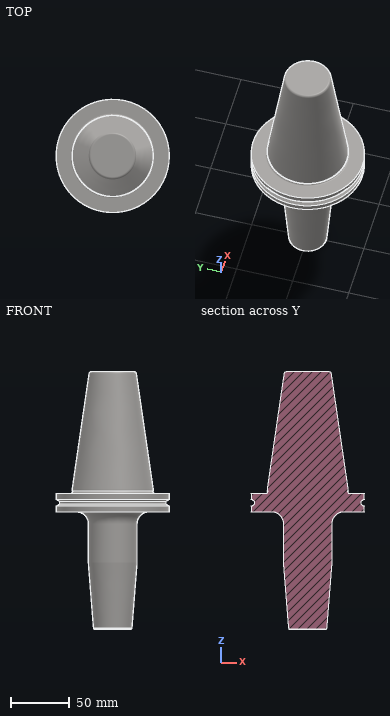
import cadquery as cq
import math

total_height = 221.8
gauge_height = 120.0

gauge_radius = 35.0
shank_slope = 7 / 48
shank_edge_round = 2.2

gauge_land = 0.9
relief_radius = 34.5
relief_fillet = 1.8

flange_radius = 48.8
flange_top = gauge_height - 3.0
flange_bottom = gauge_height - 19.0
groove_center = gauge_height - 11.0
groove_depth = 2.9
groove_root_width = 2.5
groove_flank_angle = 30.0

neck_radius = 21.0
neck_fillet = 10.0
nose_taper_top = 57.2
nose_taper_angle = 4.5
nose_chamfer_height = 1.0
nose_chamfer_width = 0.7

shank_end_radius = gauge_radius - (total_height - gauge_height) * shank_slope
nose_end_radius = neck_radius - nose_taper_top * math.tan(math.radians(nose_taper_angle))
nose_chamfer_radius = neck_radius - (nose_taper_top - nose_chamfer_height) * math.tan(
    math.radians(nose_taper_angle)
)


def make_nose_and_neck():
    """Tapered nose and cylindrical neck, flaring into the flange underside."""
    fillet_start = flange_bottom - neck_fillet
    fillet_outer_radius = neck_radius + neck_fillet
    fillet_mid_offset = neck_fillet * math.sqrt(0.5)
    return (
        cq.Workplane("XZ")
        .lineTo(nose_end_radius - nose_chamfer_width, 0)
        .lineTo(nose_chamfer_radius, nose_chamfer_height)
        .lineTo(neck_radius, nose_taper_top)
        .lineTo(neck_radius, fillet_start)
        .threePointArc(
            (fillet_outer_radius - fillet_mid_offset, fillet_start + fillet_mid_offset),
            (fillet_outer_radius, flange_bottom),
        )
        .lineTo(0, flange_bottom)
        .close()
        .revolve(360, (0, 0), (0, 1))
    )


def make_flange():
    """Flange disc with a V-flanked, flat-bottomed groove around its rim."""
    root_radius = flange_radius - groove_depth
    root_half = groove_root_width / 2
    mouth_half = root_half + groove_depth * math.tan(math.radians(groove_flank_angle))
    return (
        cq.Workplane("XZ")
        .moveTo(0, flange_bottom)
        .lineTo(flange_radius, flange_bottom)
        .lineTo(flange_radius, groove_center - mouth_half)
        .lineTo(root_radius, groove_center - root_half)
        .lineTo(root_radius, groove_center + root_half)
        .lineTo(flange_radius, groove_center + mouth_half)
        .lineTo(flange_radius, flange_top)
        .lineTo(0, flange_top)
        .close()
        .revolve(360, (0, 0), (0, 1))
    )


def make_shank():
    """Steep taper with a rounded end, standing on a filleted relief."""
    land_bottom = gauge_height - gauge_land
    fillet_outer_radius = relief_radius + relief_fillet
    fillet_top = flange_top + relief_fillet
    fillet_mid_offset = relief_fillet * math.sqrt(0.5)
    shank = (
        cq.Workplane("XZ")
        .moveTo(0, flange_top)
        .lineTo(fillet_outer_radius, flange_top)
        .threePointArc(
            (fillet_outer_radius - fillet_mid_offset, fillet_top - fillet_mid_offset),
            (relief_radius, fillet_top),
        )
        .lineTo(relief_radius, land_bottom)
        .lineTo(gauge_radius, land_bottom)
        .lineTo(gauge_radius, gauge_height)
        .lineTo(shank_end_radius, total_height)
        .lineTo(0, total_height)
        .close()
        .revolve(360, (0, 0), (0, 1))
    )
    return shank.faces(">Z").edges().fillet(shank_edge_round)


result = make_nose_and_neck().union(make_flange()).union(make_shank())